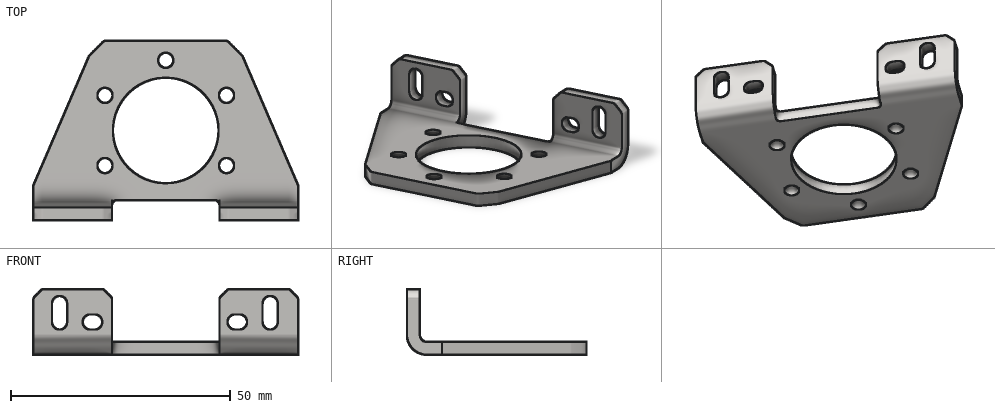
import cadquery as cq
import math

width = 60.4
depth = 41.0
height = 15.0
thickness = 3.0
inner_bend_radius = 1.575
outer_bend_radius = inner_bend_radius + thickness
front_y = -depth / 2
rear_y = depth / 2
bend_line_y = front_y + outer_bend_radius

straight_side_length = 8.0
rear_corner_half_width = 17.5
rear_chamfer = 3.5
corner_radius = 1.0

tab_width = 18.0
tab_chamfer = 2.0
notch_width = width - 2 * tab_width
notch_radius = 1.0

bore_diameter = 24.0
bolt_circle_radius = 16.0
hole_diameter = 3.4
hole_spacing_angle = 60
first_hole_angle = -30
hole_count = 5
hole_angles = [first_hole_angle + hole_spacing_angle * i for i in range(hole_count)]

slot_width = 3.4
slot_centre_x = -0.2
slot_bottom_z = 5.8
tall_slot_length = 7.6
tall_slot_offset = 24.0
tall_slot_z = slot_bottom_z + tall_slot_length / 2
short_slot_length = 4.4
short_slot_offset = 16.5
short_slot_z = slot_bottom_z + slot_width / 2


def bent_sheet():
    """L-shaped sheet profile extruded over the full width."""
    mid_bend = math.sqrt(0.5)
    bend_z = outer_bend_radius
    outer_mid = (bend_line_y - outer_bend_radius * mid_bend, bend_z - outer_bend_radius * mid_bend)
    inner_mid = (bend_line_y - inner_bend_radius * mid_bend, bend_z - inner_bend_radius * mid_bend)
    return (
        cq.Workplane("YZ")
        .moveTo(rear_y, 0)
        .lineTo(bend_line_y, 0)
        .threePointArc(outer_mid, (front_y, bend_z))
        .lineTo(front_y, height)
        .lineTo(front_y + thickness, height)
        .lineTo(front_y + thickness, bend_z)
        .threePointArc(inner_mid, (bend_line_y, thickness))
        .lineTo(rear_y, thickness)
        .close()
        .extrude(width / 2, both=True)
    )


def plan_outline():
    """Tapered plate outline seen along Z, as a prism of the full height."""
    half_width = width / 2
    side_y = front_y + straight_side_length
    chamfer_y = rear_y - rear_chamfer
    rear_half_width = rear_corner_half_width - rear_chamfer
    prism = (
        cq.Workplane("XY")
        .polyline([
            (-half_width, front_y),
            (half_width, front_y),
            (half_width, side_y),
            (rear_corner_half_width, chamfer_y),
            (rear_half_width, rear_y),
            (-rear_half_width, rear_y),
            (-rear_corner_half_width, chamfer_y),
            (-half_width, side_y),
        ])
        .close()
        .extrude(height)
    )
    above_taper = cq.selectors.BoxSelector(
        (-half_width, side_y + corner_radius, 0), (half_width, rear_y + corner_radius, height)
    )
    return prism.edges("|Z").edges(above_taper).fillet(corner_radius)


def notch():
    """Gap between the tabs, with rounded inner corners."""
    return (
        cq.Workplane("XY")
        .center(0, (front_y + bend_line_y) / 2)
        .rect(notch_width, outer_bend_radius)
        .extrude(height)
        .edges("|Z and >Y")
        .fillet(notch_radius)
    )


def tab_blank(side):
    """Chamfered and rounded tab outline, extended over the full depth of the part."""
    upper_corners = cq.selectors.BoxSelector(
        (-width, front_y, height / 2), (width, rear_y, 2 * height)
    )
    return (
        cq.Workplane("XZ", origin=(side * (width - tab_width) / 2, rear_y, height / 2))
        .rect(tab_width, height)
        .extrude(depth)
        .edges("|Y and >Z")
        .chamfer(tab_chamfer)
        .edges("|Y")
        .edges(upper_corners)
        .fillet(corner_radius)
    )


def tab_corner_waste():
    """Material outside the tab outlines, above the plate."""
    waste = (
        cq.Workplane("XY", origin=(0, 0, thickness))
        .rect(width, depth)
        .extrude(height - thickness)
    )
    for side in (-1, 1):
        waste = waste.cut(tab_blank(side))
    return waste


def plate_holes():
    """Bore and surrounding screw holes."""
    bolt_angles = [math.radians(angle) for angle in hole_angles]
    bolt_points = [
        (bolt_circle_radius * math.cos(angle), bolt_circle_radius * math.sin(angle))
        for angle in bolt_angles
    ]
    bore = cq.Workplane("XY").circle(bore_diameter / 2).extrude(thickness)
    screws = cq.Workplane("XY").pushPoints(bolt_points).circle(hole_diameter / 2).extrude(thickness)
    return bore.union(screws)


def tab_slot(x, z, length, angle):
    """One slot through a tab."""
    return (
        cq.Workplane("XZ", origin=(x, front_y + thickness, z))
        .slot2D(length, slot_width, angle)
        .extrude(thickness)
    )


result = bent_sheet().intersect(plan_outline()).cut(notch()).cut(tab_corner_waste()).cut(plate_holes())
for side in (-1, 1):
    tall_x = slot_centre_x + side * tall_slot_offset
    short_x = slot_centre_x + side * short_slot_offset
    result = result.cut(tab_slot(tall_x, tall_slot_z, tall_slot_length, 90))
    result = result.cut(tab_slot(short_x, short_slot_z, short_slot_length, 0))